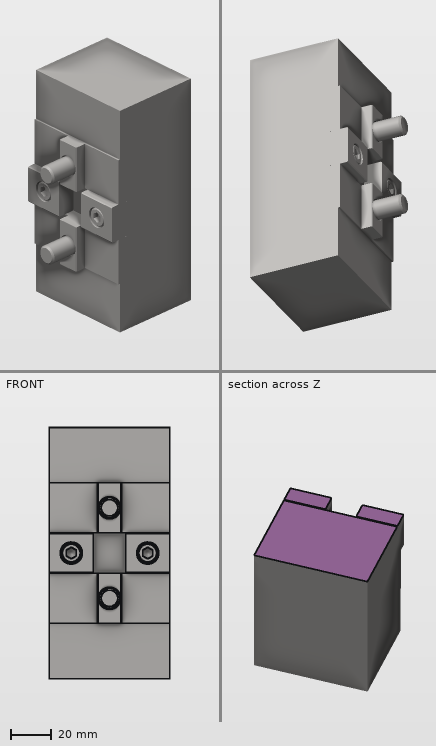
import cadquery as cq
import math

WIDTH = 60.0
HEIGHT = 125.0
BODY_DEPTH = 49.0

PAD_HEIGHT = 70.0
PAD_RISE = 1.0
PAD_FACE = BODY_DEPTH + PAD_RISE

EDGE_CHAMFER = 0.5
SIDE_KEY_LENGTH = 22.0
SIDE_KEY_WIDTH = 20.0
SIDE_KEY_THICKNESS = 10.0
SIDE_KEY_RISE = 4.5
SIDE_KEY_FACE = PAD_FACE + SIDE_KEY_RISE
KEYWAY_FLOOR = SIDE_KEY_FACE - SIDE_KEY_THICKNESS

UPRIGHT_KEY_WIDTH = 12.0
UPRIGHT_KEY_RISE = 6.0
UPRIGHT_KEY_FACE = PAD_FACE + UPRIGHT_KEY_RISE
UPRIGHT_KEY_LENGTH = (PAD_HEIGHT - SIDE_KEY_WIDTH) / 2
UPRIGHT_KEY_CENTER = (PAD_HEIGHT - UPRIGHT_KEY_LENGTH) / 2

PIN_DIAMETER = 10.0
PIN_RISE = 15.0
PIN_CHAMFER = 0.92
PIN_HOLE_DIAMETER = 11.0
PIN_HOLE_DEPTH = 10.0
PIN_TIP = UPRIGHT_KEY_FACE + PIN_RISE

SCREW_SPACING = WIDTH - SIDE_KEY_LENGTH
COUNTERBORE_DIAMETER = 11.0
HEAD_RECESS = 0.3
HEAD_DIAMETER = 10.0
HEAD_HEIGHT = 6.0
HEAD_TOP = SIDE_KEY_FACE - HEAD_RECESS
SCREW_SEAT = HEAD_TOP - HEAD_HEIGHT
HEAD_CHAMFER = 0.6
SOCKET_SIDES = 6
SOCKET_ACROSS_FLATS = 5.0
SOCKET_CORNER_DIAMETER = SOCKET_ACROSS_FLATS / math.cos(math.pi / SOCKET_SIDES)
SOCKET_DEPTH = 3.0
SOCKET_CONE_SLOPE = 30.0
SOCKET_CONE_DEPTH = SOCKET_CORNER_DIAMETER / 2 * math.tan(math.radians(SOCKET_CONE_SLOPE))


def box_between(x_size, z_size, back, front, x=0.0, z=0.0):
    """Box centred on (x, z) whose distance from the back plane runs from back to front."""
    depth = front - back
    return cq.Workplane("XY").box(x_size, depth, z_size).translate((x, -(back + front) / 2, z))


def cylinder_between(diameter, back, front, x=0.0, z=0.0):
    """Cylinder along Y centred on (x, z), from back to front as distances from the back plane."""
    return cq.Workplane("XZ", origin=(x, -back, z)).circle(diameter / 2).extrude(front - back)


def make_body():
    block = box_between(WIDTH, HEIGHT, 0.0, BODY_DEPTH)
    pad = box_between(WIDTH, PAD_HEIGHT, 0.0, PAD_FACE)
    keyway = box_between(WIDTH, SIDE_KEY_WIDTH, KEYWAY_FLOOR, PAD_FACE)
    return block.union(pad).cut(keyway)


def make_side_key(x):
    key = box_between(SIDE_KEY_LENGTH, SIDE_KEY_WIDTH, KEYWAY_FLOOR, SIDE_KEY_FACE, x=x)
    key = key.edges("|X").chamfer(EDGE_CHAMFER)
    counterbore = cylinder_between(COUNTERBORE_DIAMETER, SCREW_SEAT, SIDE_KEY_FACE, x=x)
    return key.cut(counterbore).union(make_screw_head(x))


def make_screw_head(x):
    head = cylinder_between(HEAD_DIAMETER, SCREW_SEAT, HEAD_TOP, x=x)
    head = head.faces("<Y").edges().chamfer(HEAD_CHAMFER)
    return head.cut(make_socket(x))


def make_socket(x):
    """Hexagonal socket volume that ends in the conical bottom left by a drill."""
    full_depth = SOCKET_DEPTH + SOCKET_CONE_DEPTH
    hexagon = (
        cq.Workplane("XZ", origin=(x, -HEAD_TOP, 0))
        .transformed(rotate=(0, 0, 90))
        .polygon(SOCKET_SIDES, SOCKET_CORNER_DIAMETER)
        .extrude(-full_depth)
    )
    half_profile = [
        (0, 0),
        (SOCKET_CORNER_DIAMETER / 2, 0),
        (SOCKET_CORNER_DIAMETER / 2, SOCKET_DEPTH),
        (0, full_depth),
    ]
    drill = cq.Workplane("XY").polyline(half_profile).close().revolve(360, (0, 0), (0, 1))
    return hexagon.intersect(drill.translate((x, -HEAD_TOP, 0)))


def add_upright_key(part, z):
    key = box_between(UPRIGHT_KEY_WIDTH, UPRIGHT_KEY_LENGTH, BODY_DEPTH, UPRIGHT_KEY_FACE, z=z)
    key = key.faces("<Y").edges("|Z").chamfer(EDGE_CHAMFER)
    pin_base = UPRIGHT_KEY_FACE - PIN_HOLE_DEPTH
    hole = cylinder_between(PIN_HOLE_DIAMETER, pin_base, UPRIGHT_KEY_FACE, z=z)
    pin = cylinder_between(PIN_DIAMETER, pin_base, PIN_TIP, z=z)
    pin = pin.faces("<Y").edges().chamfer(PIN_CHAMFER)
    return part.union(key).cut(hole).union(pin)


part = make_body()
for side in (-1, 1):
    part = part.union(make_side_key(side * SCREW_SPACING / 2))
    part = add_upright_key(part, side * UPRIGHT_KEY_CENTER)

result = part